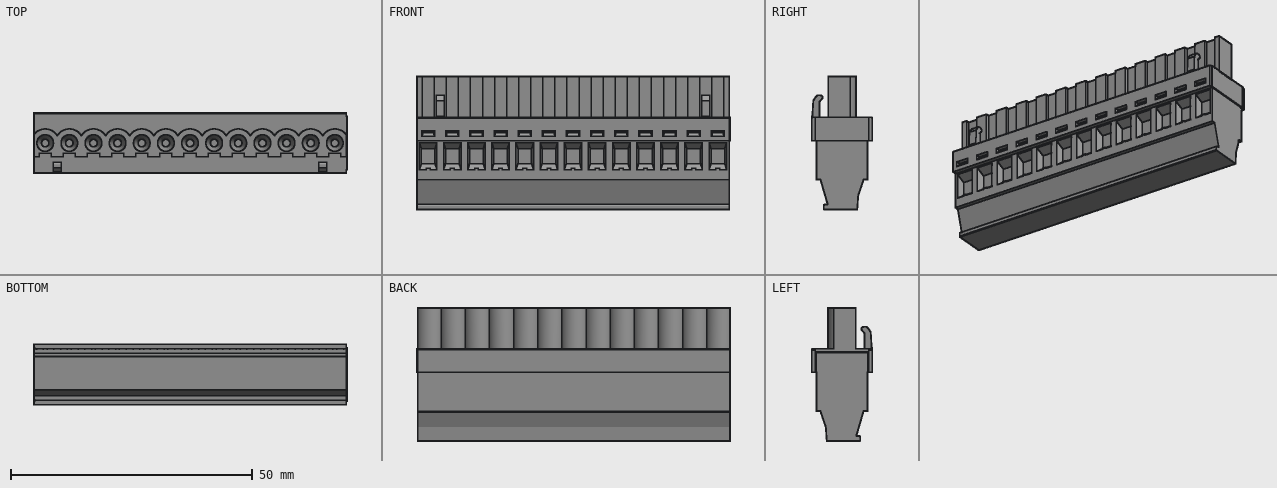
import cadquery as cq

TOTAL_LENGTH = 65.0
END_TAB_THICKNESS = 0.2
BODY_LENGTH = TOTAL_LENGTH - END_TAB_THICKNESS
TOTAL_DEPTH = 12.6
TOTAL_HEIGHT = 27.6

POLE_COUNT = 13
PITCH = 5.0
FIRST_POLE_X = (BODY_LENGTH - (POLE_COUNT - 1) * PITCH) / 2
POLE_X = [FIRST_POLE_X + i * PITCH for i in range(POLE_COUNT)]

BODY_HALF_DEPTH = 5.3
SHOULDER_Z = 6.25
NECK_HALF_DEPTH = 4.4
NECK_LAND = 0.25
REAR_KNEE_Y = 3.4
REAR_KNEE_Z = 2.9
REAR_BOTTOM_Y = 3.2
FRONT_WAIST_Y = -3.0
LIP_FRONT_Y = -3.85
LIP_HEIGHT = 1.1
LIP_TOP_RADIUS = 0.4
LIP_BOTTOM_CHAMFER = 0.1

FLANGE_TOP_Z = 19.2
SKIRT_BOTTOM_Z = 14.25
FLANGE_HALF_DEPTH = TOTAL_DEPTH / 2
FLANGE_CHAMFER = 0.2
END_TAB_DEPTH = 11.2

SEAM_WIDTH = 0.2
SEAM_DEPTH = 0.2
SEAM_OUTER_DEPTH = 2 * (BODY_HALF_DEPTH + SEAM_WIDTH)
SEAM_TOP_Z = 18.5

SKIRT_END_SETBACK = 0.05
SKIRT_END_TOP_Z = 18.85

SOCKET_RADIUS = 2.9
SOCKET_FRONT_Y = -2.85
KEYWAY_WIDTH = PITCH / 2
KEYWAY_DEPTH = 0.8
BORE_TOP_DIAMETER = 3.45
BORE_BOTTOM_DIAMETER = 1.55
BORE_DEPTH = 3.25

LATCH_WIDTH = 1.7
LATCH_X = [POLE_X[0] + PITCH / 2, POLE_X[-1] - PITCH / 2]
LATCH_ROOT = (-6.25, 19.0)
LATCH_ROOT_TOP_Z = 19.4
LATCH_FOOT_Y = -6.2
LATCH_BACK_Y = -4.6
LATCH_NECK_Z = 22.4
LATCH_TIP = (-3.95, 23.15)
LATCH_TIP_BULGE = (-4.1, 23.5)
LATCH_CROWN = (-4.5, 23.7)
LATCH_CROWN_FRONT = (-5.15, 23.7)
LATCH_BEVEL_MIDDLE = (-5.65, 23.15)
LATCH_BEVEL_END = (-6.0, 22.55)

ENTRY_MOUTH = (3.65, 8.3, 13.9)
ENTRY_BACK = (2.8, 9.55, 12.6)
ENTRY_DEPTH = 1.6
ENTRY_RIB_WIDTH = 0.8
ENTRY_RIB_HEIGHT = 0.25
ENTRY_RIB_DEPTH = 0.3

WINDOW_MOUTH = (2.7, 15.2, 16.3)
WINDOW_MIDDLE = (2.35, 15.6, 16.2)
WINDOW_BACK = (2.3, 15.9, 16.05)
WINDOW_OUTER_DEPTH = 0.4
WINDOW_INNER_DEPTH = 0.2


def extrude_profile(profile, x_start, length):
    """Extrude a closed YZ outline along +X."""
    return profile.close().extrude(length).translate((x_start, 0, 0))


def make_body():
    lip_bend = LIP_HEIGHT - LIP_TOP_RADIUS
    profile = (
        cq.Workplane("YZ")
        .moveTo(LIP_FRONT_Y + LIP_BOTTOM_CHAMFER, 0)
        .lineTo(REAR_BOTTOM_Y, 0)
        .lineTo(REAR_KNEE_Y, REAR_KNEE_Z)
        .lineTo(NECK_HALF_DEPTH, SHOULDER_Z - NECK_LAND)
        .lineTo(NECK_HALF_DEPTH, SHOULDER_Z)
        .lineTo(BODY_HALF_DEPTH, SHOULDER_Z)
        .lineTo(BODY_HALF_DEPTH, FLANGE_TOP_Z)
        .lineTo(-BODY_HALF_DEPTH, FLANGE_TOP_Z)
        .lineTo(-BODY_HALF_DEPTH, SHOULDER_Z)
        .lineTo(-NECK_HALF_DEPTH, SHOULDER_Z)
        .lineTo(-NECK_HALF_DEPTH, SHOULDER_Z - NECK_LAND)
        .lineTo(FRONT_WAIST_Y, LIP_HEIGHT)
        .lineTo(LIP_FRONT_Y + LIP_TOP_RADIUS, LIP_HEIGHT)
        .radiusArc((LIP_FRONT_Y, lip_bend), -LIP_TOP_RADIUS)
        .lineTo(LIP_FRONT_Y, LIP_BOTTOM_CHAMFER)
    )
    return extrude_profile(profile, 0, BODY_LENGTH)


def make_flange():
    height = FLANGE_TOP_Z - SKIRT_BOTTOM_Z
    flange = (
        cq.Workplane("XY", origin=(0, 0, SKIRT_BOTTOM_Z))
        .box(BODY_LENGTH, TOTAL_DEPTH, height, centered=(False, True, False))
        .edges("|X and >Z")
        .chamfer(FLANGE_CHAMFER)
    )
    end_tab = cq.Workplane("XY", origin=(BODY_LENGTH, 0, SKIRT_BOTTOM_Z)).box(
        END_TAB_THICKNESS, END_TAB_DEPTH, height, centered=(False, True, False)
    )
    return flange.union(end_tab)


def make_end_slab(thickness, depth, top_z):
    """Slab behind the -X end face, rising from the skirt bottom to top_z."""
    return cq.Workplane("XY", origin=(0, 0, SKIRT_BOTTOM_Z)).box(
        thickness, depth, top_z - SKIRT_BOTTOM_Z, centered=(False, True, False)
    )


def make_seam():
    """Narrow slot around the body, between it and the skirts and flange."""
    outer = make_end_slab(SEAM_DEPTH, SEAM_OUTER_DEPTH, SEAM_TOP_Z)
    inner = make_end_slab(SEAM_DEPTH, 2 * BODY_HALF_DEPTH, SEAM_TOP_Z - SEAM_WIDTH)
    return outer.cut(inner)


def make_skirt_setback():
    outer = make_end_slab(SKIRT_END_SETBACK, TOTAL_DEPTH, SKIRT_END_TOP_Z)
    inner = make_end_slab(SKIRT_END_SETBACK, SEAM_OUTER_DEPTH, SKIRT_END_TOP_Z)
    return outer.cut(inner)


def make_socket(x):
    """Round-backed, flat-fronted block with a keyway down its front."""
    plane = cq.Workplane("XY", origin=(x, 0, FLANGE_TOP_Z))
    height = TOTAL_HEIGHT - FLANGE_TOP_Z
    round_back = plane.circle(SOCKET_RADIUS).extrude(height)
    side = (SOCKET_RADIUS**2 - (PITCH / 2) ** 2) ** 0.5
    block = plane.center(0, (SOCKET_FRONT_Y + side) / 2).rect(PITCH, side - SOCKET_FRONT_Y).extrude(height)
    keyway = (
        plane.center(0, SOCKET_FRONT_Y + KEYWAY_DEPTH / 2).rect(KEYWAY_WIDTH, KEYWAY_DEPTH).extrude(height)
    )
    return round_back.union(block).cut(keyway)


def make_sockets():
    """Join the sockets and cut the row flush at its front and both ends."""
    sockets = make_socket(POLE_X[0])
    for x in POLE_X[1:]:
        sockets = sockets.union(make_socket(x))
    trim = cq.Workplane("XY", origin=(0, SOCKET_FRONT_Y, FLANGE_TOP_Z)).box(
        BODY_LENGTH, SOCKET_RADIUS - SOCKET_FRONT_Y, TOTAL_HEIGHT - FLANGE_TOP_Z, centered=False
    )
    return sockets.intersect(trim)


def make_bore(x):
    return cq.Workplane(
        cq.Solid.makeCone(
            BORE_BOTTOM_DIAMETER / 2,
            BORE_TOP_DIAMETER / 2,
            BORE_DEPTH,
            cq.Vector(x, 0, TOTAL_HEIGHT - BORE_DEPTH),
        )
    )


def make_latch(x):
    profile = (
        cq.Workplane("YZ")
        .moveTo(*LATCH_ROOT)
        .lineTo(LATCH_BACK_Y, LATCH_ROOT[1])
        .lineTo(LATCH_BACK_Y, LATCH_NECK_Z)
        .lineTo(*LATCH_TIP)
        .threePointArc(LATCH_TIP_BULGE, LATCH_CROWN)
        .lineTo(*LATCH_CROWN_FRONT)
        .lineTo(*LATCH_BEVEL_MIDDLE)
        .lineTo(*LATCH_BEVEL_END)
        .lineTo(LATCH_FOOT_Y, LATCH_ROOT_TOP_Z)
        .lineTo(LATCH_ROOT[0], LATCH_ROOT_TOP_Z)
    )
    return extrude_profile(profile, x - LATCH_WIDTH / 2, LATCH_WIDTH)


def make_tapered_pocket(x, face_y, mouth, back, depth):
    """Rectangular pocket into a front face, tapering from mouth to back."""
    mouth_width, mouth_bottom, mouth_top = mouth
    back_width, back_bottom, back_top = back
    mouth_middle = (mouth_bottom + mouth_top) / 2
    back_middle = (back_bottom + back_top) / 2
    return (
        cq.Workplane("XZ", origin=(x, face_y, mouth_middle))
        .rect(mouth_width, mouth_top - mouth_bottom)
        .workplane(offset=-depth)
        .center(0, back_middle - mouth_middle)
        .rect(back_width, back_top - back_bottom)
        .loft(ruled=True)
    )


def make_wire_entry(x):
    pocket = make_tapered_pocket(x, -BODY_HALF_DEPTH, ENTRY_MOUTH, ENTRY_BACK, ENTRY_DEPTH)
    mouth_bottom = ENTRY_MOUTH[1]
    rib = cq.Workplane("XY", origin=(x, -BODY_HALF_DEPTH, mouth_bottom)).box(
        ENTRY_RIB_WIDTH, ENTRY_RIB_DEPTH, ENTRY_RIB_HEIGHT, centered=(True, False, False)
    )
    return pocket.cut(rib)


def make_window(x):
    face_y = -FLANGE_HALF_DEPTH
    outer = make_tapered_pocket(x, face_y, WINDOW_MOUTH, WINDOW_MIDDLE, WINDOW_OUTER_DEPTH)
    inner = make_tapered_pocket(
        x, face_y + WINDOW_OUTER_DEPTH, WINDOW_MIDDLE, WINDOW_BACK, WINDOW_INNER_DEPTH
    )
    return outer.union(inner)


result = make_body().union(make_flange()).union(make_sockets())
for latch_x in LATCH_X:
    result = result.union(make_latch(latch_x))
result = result.cut(make_seam()).cut(make_skirt_setback())
for pole_x in POLE_X:
    result = result.cut(make_bore(pole_x))
    result = result.cut(make_wire_entry(pole_x))
    result = result.cut(make_window(pole_x))